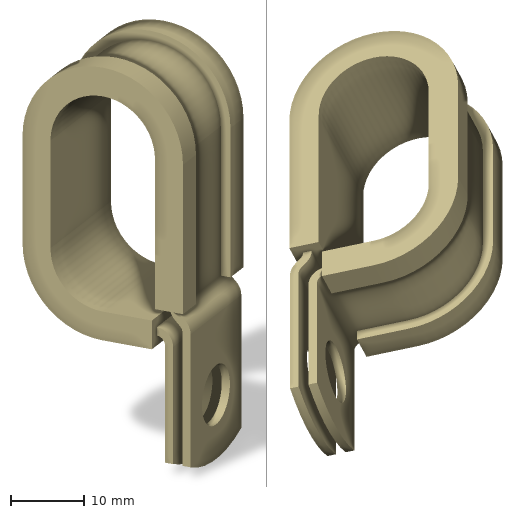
import cadquery as cq
import math

overall_length = 24.75
overall_height = 58.95
cushion_width = 18.9
loop_width = 24.35
loop_height = 40.2
wall = 4.25
groove_width = 10.8
groove_depth = 1.5
strap_thickness = 1.25
tab_width = 15.85
tab_gap = 1.4
long_leg_end = 24.75
bend_radius = 1.25
jog_angle = 45
hole_diameter = 8.7
hole_height = 9.5
tip_rise = 1.7

loop_radius = loop_width / 2
upper_centre_z = overall_height - loop_radius
loop_bottom = overall_height - loop_height
lower_centre_z = loop_bottom + loop_radius
strap_outer_depth = groove_depth
strap_inner_depth = groove_depth + strap_thickness
rear_tab_inner_x = overall_length - strap_thickness
front_tab_outer_x = rear_tab_inner_x - tab_gap
front_tab_inner_x = front_tab_outer_x - strap_thickness
foot_end = front_tab_inner_x - bend_radius
strap_top_z = loop_bottom + strap_inner_depth
strap_under_z = loop_bottom + strap_outer_depth
diagonal = math.sqrt(0.5)


def extrude_centred(sketch, width):
    """Extrude an XZ sketch equally to both sides of Y = 0."""
    return sketch.extrude(width / 2, both=True)


def loop_band(outer_depth, inner_depth, width):
    """Open loop lying between two depths below the cushion's outer surface."""
    outer = loop_radius - outer_depth
    inner = loop_radius - inner_depth
    sketch = (
        cq.Workplane("XZ")
        .moveTo(loop_radius + outer, long_leg_end)
        .lineTo(loop_radius + outer, upper_centre_z)
        .threePointArc((loop_radius, upper_centre_z + outer), (loop_radius - outer, upper_centre_z))
        .lineTo(loop_radius - outer, lower_centre_z)
        .threePointArc(
            (loop_radius - outer * diagonal, lower_centre_z - outer * diagonal),
            (loop_radius, lower_centre_z - outer),
        )
        .lineTo(foot_end, lower_centre_z - outer)
        .lineTo(foot_end, lower_centre_z - inner)
        .lineTo(loop_radius, lower_centre_z - inner)
        .threePointArc(
            (loop_radius - inner * diagonal, lower_centre_z - inner * diagonal),
            (loop_radius - inner, lower_centre_z),
        )
        .lineTo(loop_radius - inner, upper_centre_z)
        .threePointArc((loop_radius, upper_centre_z + inner), (loop_radius + inner, upper_centre_z))
        .lineTo(loop_radius + inner, long_leg_end)
        .close()
    )
    return extrude_centred(sketch, width)


def front_tab():
    """Tab turned down from the bottom run through a 90 degree bend."""
    outer = bend_radius + strap_thickness
    inner = bend_radius
    centre_z = strap_top_z - outer
    sketch = (
        cq.Workplane("XZ")
        .moveTo(foot_end, strap_top_z)
        .threePointArc(
            (foot_end + outer * diagonal, centre_z + outer * diagonal),
            (front_tab_outer_x, centre_z),
        )
        .lineTo(front_tab_outer_x, 0)
        .lineTo(front_tab_inner_x, 0)
        .lineTo(front_tab_inner_x, centre_z)
        .threePointArc(
            (foot_end + inner * diagonal, centre_z + inner * diagonal),
            (foot_end, strap_under_z),
        )
        .close()
    )
    return extrude_centred(sketch, tab_width)


def rear_tab():
    """Tab continuing the straight leg through a 45 degree jog in +X made of two equal bends."""
    outer_x = loop_width - strap_outer_depth
    inner_x = loop_width - strap_inner_depth
    inner = bend_radius
    outer = bend_radius + strap_thickness
    upper_x = outer_x + inner
    lower_x = overall_length - outer
    slope_run = overall_length - outer_x - (inner + outer) * (1 - diagonal)
    lower_z = long_leg_end - (inner + outer) * diagonal - slope_run

    def upper_bend(radius, angle):
        turn = math.radians(angle)
        return upper_x - radius * math.cos(turn), long_leg_end - radius * math.sin(turn)

    def lower_bend(radius, angle):
        turn = math.radians(angle)
        return lower_x + radius * math.cos(turn), lower_z + radius * math.sin(turn)

    sketch = (
        cq.Workplane("XZ")
        .moveTo(outer_x, long_leg_end)
        .threePointArc(upper_bend(inner, jog_angle / 2), upper_bend(inner, jog_angle))
        .lineTo(*lower_bend(outer, jog_angle))
        .threePointArc(lower_bend(outer, jog_angle / 2), (overall_length, lower_z))
        .lineTo(overall_length, 0)
        .lineTo(rear_tab_inner_x, 0)
        .lineTo(rear_tab_inner_x, lower_z)
        .threePointArc(lower_bend(inner, jog_angle / 2), lower_bend(inner, jog_angle))
        .lineTo(*upper_bend(outer, jog_angle))
        .threePointArc(upper_bend(outer, jog_angle / 2), (inner_x, long_leg_end))
        .close()
    )
    return extrude_centred(sketch, tab_width)


def tab_outline():
    """Tab shape in YZ with its rounded tip, used to trim both tabs."""
    half_width = tab_width / 2
    sketch = (
        cq.Workplane("YZ")
        .moveTo(-half_width, tip_rise)
        .threePointArc((0, 0), (half_width, tip_rise))
        .lineTo(half_width, overall_height)
        .lineTo(-half_width, overall_height)
        .close()
    )
    return sketch.extrude(overall_length)


def bolt_hole():
    """Bolt clearance passing through both tabs."""
    return (
        cq.Workplane("YZ")
        .center(0, hole_height)
        .circle(hole_diameter / 2)
        .extrude(overall_length)
    )


cushion = loop_band(0, wall, cushion_width).cut(loop_band(0, groove_depth, groove_width))
tabs = front_tab().union(rear_tab()).intersect(tab_outline()).cut(bolt_hole())
result = cushion.union(tabs)